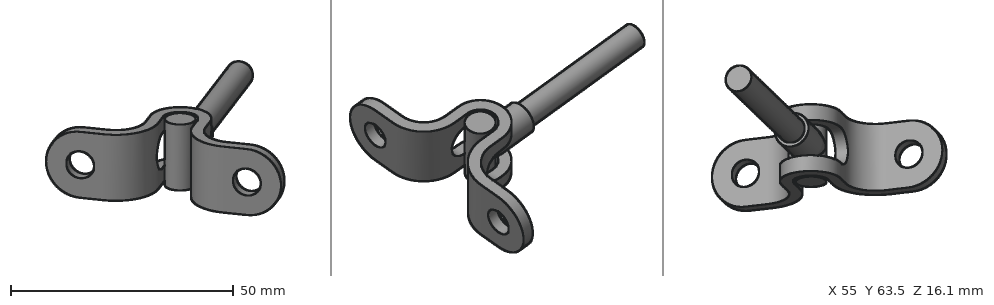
import cadquery as cq

strap_thickness = 3.0
strap_width = 16.0
bracket_length = 55.0
loop_inner_radius = 4.0
bend_inner_radius = 7.0
loop_center_y = 14.05
lug_hole_diameter = 6.5

loop_outer_radius = loop_inner_radius + strap_thickness
bend_outer_radius = bend_inner_radius + strap_thickness
bend_center_x = loop_outer_radius + bend_inner_radius
bend_center_y = bend_outer_radius
lug_radius = strap_width / 2
lug_center_x = bracket_length / 2 - lug_radius

slot_width = 8.45
slot_bottom_y = 8.95

bolt_center_z = -0.05
pin_center_y = 13.9
pin_diameter = 7.0
pin_length = 16.0
collar_diameter = 8.0
taper_tip_diameter = 7.05
collar_end_y = 27.1
rod_diameter = 6.15
rod_end_y = 63.5


def bent_strap():
    """Strap profile in the XY plane, extruded symmetrically along Z."""
    diagonal = 0.5 ** 0.5
    inner_reach = bend_inner_radius * diagonal
    outer_reach = bend_outer_radius * diagonal
    end_x = bracket_length / 2
    loop_top_y = loop_center_y + loop_outer_radius
    loop_inner_top_y = loop_center_y + loop_inner_radius
    return (
        cq.Workplane("XY")
        .moveTo(-end_x, 0)
        .lineTo(-bend_center_x, 0)
        .threePointArc(
            (-bend_center_x + outer_reach, bend_center_y - outer_reach),
            (-loop_inner_radius, bend_center_y),
        )
        .lineTo(-loop_inner_radius, loop_center_y)
        .threePointArc((0, loop_inner_top_y), (loop_inner_radius, loop_center_y))
        .lineTo(loop_inner_radius, bend_center_y)
        .threePointArc(
            (bend_center_x - outer_reach, bend_center_y - outer_reach),
            (bend_center_x, 0),
        )
        .lineTo(end_x, 0)
        .lineTo(end_x, strap_thickness)
        .lineTo(bend_center_x, strap_thickness)
        .threePointArc(
            (bend_center_x - inner_reach, bend_center_y - inner_reach),
            (loop_outer_radius, bend_center_y),
        )
        .lineTo(loop_outer_radius, loop_center_y)
        .threePointArc((0, loop_top_y), (-loop_outer_radius, loop_center_y))
        .lineTo(-loop_outer_radius, bend_center_y)
        .threePointArc(
            (-bend_center_x + inner_reach, bend_center_y - inner_reach),
            (-bend_center_x, strap_thickness),
        )
        .lineTo(-end_x, strap_thickness)
        .close()
        .extrude(strap_width / 2, both=True)
    )


def lug_outline():
    """Round-ended envelope that trims both lugs."""
    depth = loop_center_y + loop_outer_radius
    return cq.Workplane("XZ").slot2D(bracket_length, strap_width).extrude(-depth)


def lug_holes():
    return (
        cq.Workplane("XZ")
        .pushPoints([(-lug_center_x, 0), (lug_center_x, 0)])
        .circle(lug_hole_diameter / 2)
        .extrude(-strap_thickness)
    )


def swing_slot():
    """Round-bottomed slot across both walls, open through the top of the loop."""
    radius = slot_width / 2
    bottom_center_y = slot_bottom_y + radius
    top_y = loop_center_y + loop_outer_radius
    return (
        cq.Workplane("YZ")
        .moveTo(top_y, -radius)
        .lineTo(bottom_center_y, -radius)
        .threePointArc((slot_bottom_y, 0), (bottom_center_y, radius))
        .lineTo(top_y, radius)
        .close()
        .extrude(loop_outer_radius + bend_inner_radius, both=True)
    )


def make_bracket():
    return bent_strap().intersect(lug_outline()).cut(lug_holes()).cut(swing_slot())


def make_eye_bolt():
    pin_radius = pin_diameter / 2
    collar_start_y = pin_center_y + pin_radius
    shank = (
        cq.Workplane("XY")
        .moveTo(0, pin_center_y)
        .lineTo(taper_tip_diameter / 2, pin_center_y)
        .lineTo(collar_diameter / 2, collar_start_y)
        .lineTo(collar_diameter / 2, collar_end_y)
        .lineTo(rod_diameter / 2, collar_end_y)
        .lineTo(rod_diameter / 2, rod_end_y)
        .lineTo(0, rod_end_y)
        .close()
        .revolve(360, (0, 0, 0), (0, 1, 0))
    )
    pin = (
        cq.Workplane("XY")
        .workplane(offset=-pin_length / 2)
        .center(0, pin_center_y)
        .circle(pin_radius)
        .extrude(pin_length)
    )
    return pin.union(shank).translate((0, 0, bolt_center_z))


bracket = make_bracket()
eye_bolt = make_eye_bolt()

result = cq.Compound.makeCompound([*bracket.solids().vals(), *eye_bolt.solids().vals()])